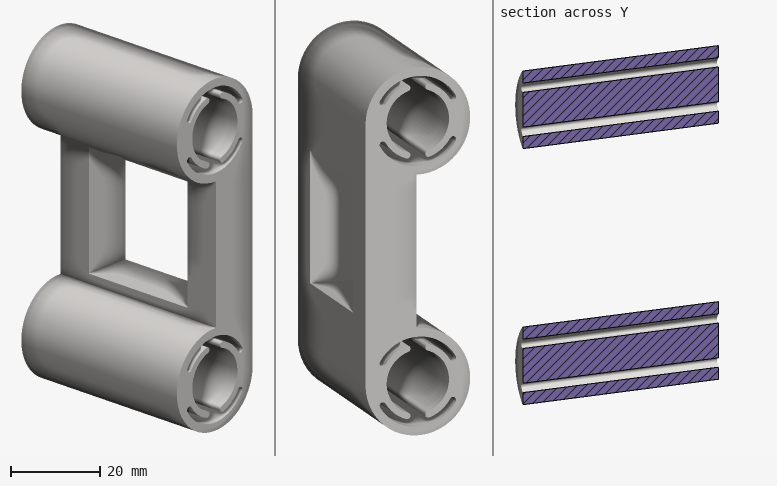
import cadquery as cq
import math

width = 48.0
tube_spacing = 60.0
plate_thickness = 12.0

bore_radius = 7.36
finger_thickness = 1.5
slot_width = 1.5
wall_thickness = 2.0
finger_radius = bore_radius + finger_thickness
slot_radius = finger_radius + slot_width
tube_radius = slot_radius + wall_thickness

slot_end_angle = 30.5
finger_gap = 3.5
finger_mid_radius = bore_radius + finger_thickness / 2
tip_center_offset = (finger_gap + finger_thickness) / 2
finger_end_angle = math.degrees(math.acos(tip_center_offset / finger_mid_radius))

window_size = 30.4

tube_heights = (-tube_spacing / 2, tube_spacing / 2)


def polar(radius, angle):
    """Point (y, z) at an angle in degrees around a tube axis."""
    return (radius * math.cos(math.radians(angle)), radius * math.sin(math.radians(angle)))


def along_x(y=0.0, z=0.0):
    """YZ sketch plane on the -X end face, with its origin on (y, z)."""
    return cq.Workplane("YZ", origin=(-width / 2, y, z))


def ring_sector(inner_radius, outer_radius, end_angle):
    """Full-width ring sector, symmetric about the Z axis, spanning end_angle to 180 - end_angle."""
    other_angle = 180 - end_angle
    return (
        along_x()
        .moveTo(*polar(inner_radius, end_angle))
        .threePointArc((0, inner_radius), polar(inner_radius, other_angle))
        .lineTo(*polar(outer_radius, other_angle))
        .threePointArc((0, outer_radius), polar(outer_radius, end_angle))
        .close()
        .extrude(width)
    )


def round_ends(inner_radius, outer_radius, end_angle):
    """Two full-width rods that round the ends of the matching ring sector."""
    mid_radius = (inner_radius + outer_radius) / 2
    ends = [polar(mid_radius, angle) for angle in (end_angle, 180 - end_angle)]
    return along_x().pushPoints(ends).circle((outer_radius - inner_radius) / 2).extrude(width)


def tube_opening():
    """Space inside a tube: the bore, and above and below it a curved slot joined to it by a gap."""
    bore = along_x().circle(bore_radius).extrude(width)

    slot_ring = (finger_radius, slot_radius, slot_end_angle)
    slot = ring_sector(*slot_ring).union(round_ends(*slot_ring))

    finger_ring = (bore_radius, finger_radius, finger_end_angle)
    gap = ring_sector(*finger_ring).cut(round_ends(*finger_ring))

    upper = slot.union(gap)
    return bore.union(upper).union(upper.mirror("XY"))


def body():
    """Two tubes joined by a plate flush with their +Y side."""
    plate_center_y = tube_radius - plate_thickness / 2
    solid = along_x(y=plate_center_y).rect(plate_thickness, tube_spacing).extrude(width)
    for height in tube_heights:
        solid = solid.union(along_x(z=height).circle(tube_radius).extrude(width))
    return solid


def window():
    """Square opening through the plate along Y."""
    return cq.Workplane("XY").box(window_size, 2 * tube_radius, window_size)


result = body().cut(window())
for tube_height in tube_heights:
    result = result.cut(tube_opening().translate((0, 0, tube_height)))